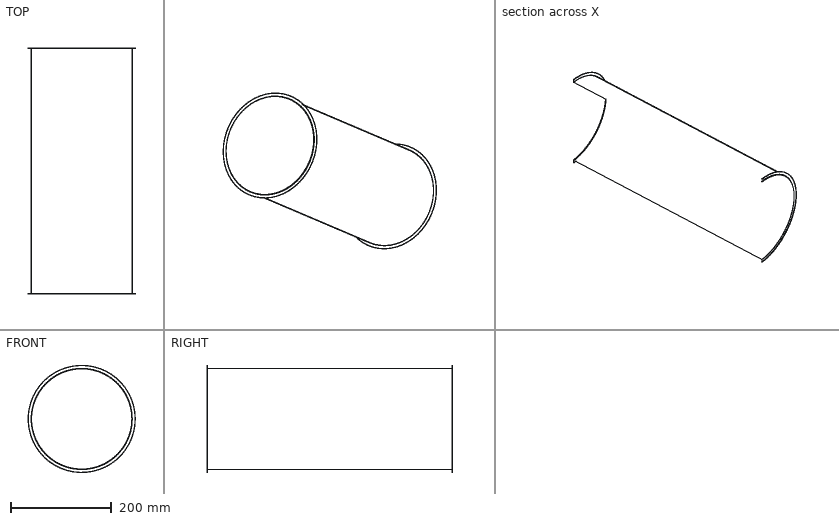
import cadquery as cq

length = 488.0
bore_diameter = 199.0
wall_thickness = 1.0
flange_diameter = 213.0
flange_thickness = 1.0

tube_diameter = bore_diameter + 2 * wall_thickness


def cylinder_along_y(diameter, start_y, end_y):
    """Solid cylinder on the Y axis between two Y positions."""
    plane = cq.Workplane("XZ", origin=(0, end_y, 0))
    return plane.circle(diameter / 2).extrude(end_y - start_y)


front_y = -length / 2
back_y = length / 2
tube = cylinder_along_y(tube_diameter, front_y, back_y)
front_flange = cylinder_along_y(flange_diameter, front_y, front_y + flange_thickness)
back_flange = cylinder_along_y(flange_diameter, back_y - flange_thickness, back_y)
bore = cylinder_along_y(bore_diameter, front_y, back_y)

result = tube.union(front_flange).union(back_flange).cut(bore)